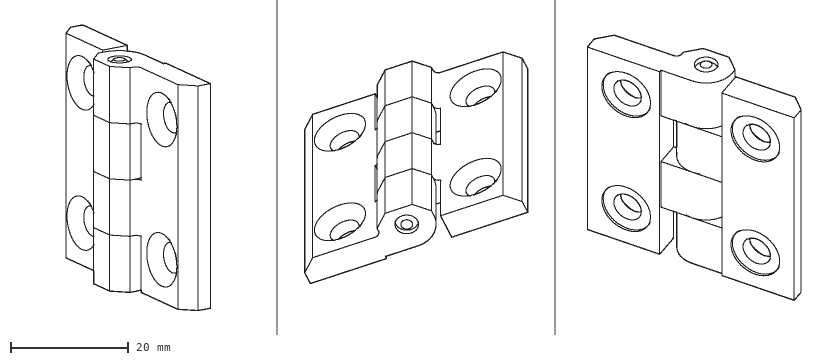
import cadquery as cq


hinge_width = 40.0
hinge_height = 40.0
plate_thickness = 5.0
plate_front = 0.5
plate_back = plate_front + plate_thickness
outer_x = hinge_width / 2
outer_chamfer = plate_thickness / 2

knuckle_radius = 5.0
knuckle_front = -3.6
knuckle_chamfer = knuckle_radius / 2
knuckle_count = 4
knuckle_length = hinge_height / knuckle_count
root_fillet = 1.0
plate_inner_x = knuckle_radius + root_fillet

screw_hole_diameter = 5.3
countersink_diameter = 9.4
countersink_angle = 90.0
screw_x = 12.5
screw_z = 12.5
back_recess_diameter = countersink_diameter
back_recess_floor = knuckle_radius

pin_diameter = 4.0
pin_tip_diameter = 2.0
pin_chamfer = (pin_diameter - pin_tip_diameter) / 2


def make_plate():
    """Flat plate on the +X side with its outer front edge chamfered."""
    return (
        cq.Workplane("XY", origin=(0, 0, -hinge_height / 2))
        .moveTo(plate_inner_x, plate_front)
        .lineTo(outer_x - outer_chamfer, plate_front)
        .lineTo(outer_x, plate_front + outer_chamfer)
        .lineTo(outer_x, plate_back)
        .lineTo(plate_inner_x, plate_back)
        .close()
        .extrude(hinge_height)
    )


def make_knuckle(bottom_z):
    """One knuckle, rounded at the back and faceted at the front, reaching to the plate."""
    facet_start_y = knuckle_front + knuckle_chamfer
    flat_half_width = knuckle_radius - knuckle_chamfer
    return (
        cq.Workplane("XY", origin=(0, 0, bottom_z))
        .moveTo(plate_inner_x, knuckle_radius)
        .lineTo(0, knuckle_radius)
        .radiusArc((-knuckle_radius, 0), -knuckle_radius)
        .lineTo(-knuckle_radius, facet_start_y)
        .lineTo(-flat_half_width, knuckle_front)
        .lineTo(flat_half_width, knuckle_front)
        .lineTo(knuckle_radius, facet_start_y)
        .lineTo(knuckle_radius, plate_front - root_fillet)
        .radiusArc((plate_inner_x, plate_front), root_fillet)
        .close()
        .extrude(knuckle_length)
    )


def make_leaf():
    """Leaf on the +X side: plate, every second knuckle from the top, pin bore and screw holes."""
    leaf = make_plate()
    for index in range(1, knuckle_count, 2):
        leaf = leaf.union(make_knuckle(-hinge_height / 2 + index * knuckle_length))

    pin_bore = cq.Workplane("XY").circle(pin_diameter / 2).extrude(hinge_height / 2, both=True)
    leaf = leaf.cut(pin_bore)

    screw_points = [(screw_x, -screw_z), (screw_x, screw_z)]
    leaf = (
        leaf.copyWorkplane(cq.Workplane("XZ", origin=(0, plate_front, 0)))
        .pushPoints(screw_points)
        .cskHole(screw_hole_diameter, countersink_diameter, countersink_angle)
    )

    back_recesses = (
        cq.Workplane("XZ", origin=(0, plate_back, 0))
        .pushPoints(screw_points)
        .circle(back_recess_diameter / 2)
        .extrude(plate_back - back_recess_floor)
    )
    return leaf.cut(back_recesses)


def make_pin():
    """Hinge pin with chamfered ends, flush with the top and bottom of the leaves."""
    return (
        cq.Workplane("XY", origin=(0, 0, -hinge_height / 2))
        .circle(pin_diameter / 2)
        .extrude(hinge_height)
        .faces("<Z or >Z")
        .chamfer(pin_chamfer)
    )


leaves = [make_leaf().rotate((0, 0, 0), (0, 1, 0), angle) for angle in (0, 180)]
pin = make_pin()

result = cq.Compound.makeCompound([*(leaf.val() for leaf in leaves), pin.val()])